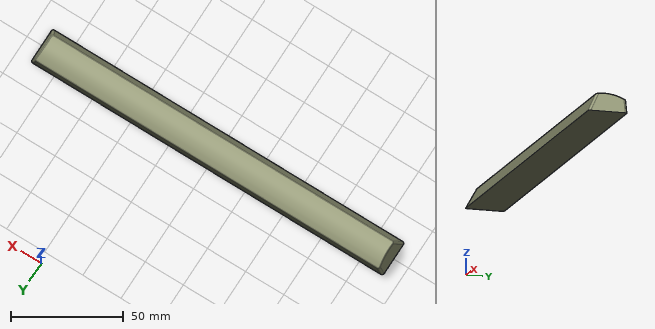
import cadquery as cq
import math

length = 184.7
depth = 18.1
height = 9.0

front_setback = 4.5
crown_setback = 8.3
crown_radius = 18.5

end_setback = 2.8
corner_radius = 1.1

brow_radius = 0.4

front_y = -depth / 2
back_y = depth / 2
crown_y = front_y + crown_setback


def crown_height(y):
    """Height of the crowned top above the base at a given Y."""
    drop = crown_radius - math.sqrt(crown_radius**2 - (y - crown_y) ** 2)
    return height - drop


top_front_y = front_y + front_setback
bar = (
    cq.Workplane("YZ")
    .moveTo(front_y, 0)
    .lineTo(back_y, 0)
    .lineTo(back_y, crown_height(back_y))
    .threePointArc((crown_y, height), (top_front_y, crown_height(top_front_y)))
    .close()
    .extrude(length / 2, both=True)
)

half_base = length / 2
half_top = half_base - end_setback
end_envelope = (
    cq.Workplane("XZ")
    .polyline([(-half_base, 0), (half_base, 0), (half_top, height), (-half_top, height)])
    .close()
    .extrude(depth, both=True)
)
body = bar.intersect(end_envelope)

rising_edges = body.edges("not(|X or |Y)").filter(
    lambda edge: edge.geomType() == "LINE" and edge.BoundingBox().zmin < corner_radius
)
rounded_body = rising_edges.fillet(corner_radius)

brow_point = (0, top_front_y, crown_height(top_front_y))
brow_edge = rounded_body.edges(cq.selectors.NearestToPointSelector(brow_point))
result = brow_edge.fillet(brow_radius)